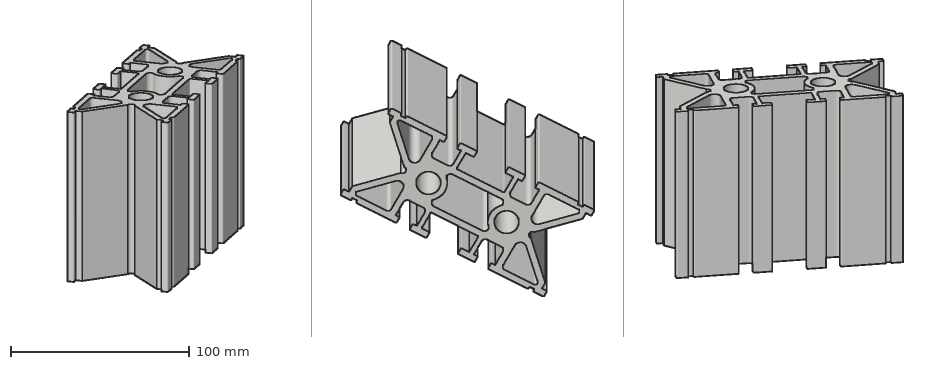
import cadquery as cq
import math

width = 60.0
length = 130.0
height = 100.0

plate = 4.0
arm = 3.9
thin_web = 3.0
half_width = width / 2
half_length = length / 2
plate_inner_x = half_width - plate

bore_diameter = 13.8
bore_y = 25.0
slot_half_height = 6.8
slot_half_mouth = 4.2
slot_floor_x = 14.5
slot_fillet = 2.5
slot_outer_y = bore_y + slot_half_height
slot_inner_y = bore_y - slot_half_height

lip_end_y = 10.0
channel_half_length = slot_inner_y - thin_web
channel_floor_x = 15.1

cavity_half_width = channel_floor_x - plate
cavity_half_length = 18.0
cavity_fillet = 2.5
bore_wall_radius = 10.5
bore_wall_fillet = 1.4

recess_root_radius = 2.1
recess_root_y = 41.6
tip_height = 3.4
shelf_y = half_length - tip_height
shelf_x = recess_root_radius + shelf_y - recess_root_y

triangle_base_y = slot_outer_y + plate
arm_inner_offset = recess_root_y - recess_root_radius - arm * math.sqrt(2)
triangle_inner_x = triangle_base_y - arm_inner_offset
triangle_top_y = arm_inner_offset + plate_inner_x
triangle_tip_fillet = 1.4
triangle_base_fillet = 2.0
triangle_inner_fillet = 3.5

groove_depth = 1.5
groove_inner_y = 55.1
groove_outer_y = 58.1
outer_edge_fillet = 0.9
small_edge_fillet = 0.4

signs = (-1, 1)
corners = [(sx, sy) for sx in signs for sy in signs]


def box(x_min, x_max, y_min, y_max):
    """Full-height block between the given X and Y limits."""
    return cq.Workplane("XY").box(
        x_max - x_min, y_max - y_min, height, centered=False
    ).translate((x_min, y_min, 0))


def prism(points):
    return cq.Workplane("XY").polyline(points).close().extrude(height)


def at_corner(solid, sx, sy):
    """Mirror a solid from the +X +Y quarter into the given quarter."""
    if sx < 0:
        solid = solid.mirror("YZ")
    if sy < 0:
        solid = solid.mirror("XZ")
    return solid


def edge_at(x, y):
    """Selector for the vertical edge at (x, y)."""
    reach = 0.06
    return cq.selectors.BoxSelector((x - reach, y - reach, 0), (x + reach, y + reach, height))


def end_recess():
    """V recess in the +Y end, with a flat shelf beside each tip."""
    return (
        cq.Workplane("XY")
        .moveTo(-recess_root_radius, recess_root_y)
        .threePointArc((0, recess_root_y - recess_root_radius), (recess_root_radius, recess_root_y))
        .lineTo(shelf_x, shelf_y)
        .lineTo(plate_inner_x, shelf_y)
        .lineTo(plate_inner_x, half_length)
        .lineTo(-plate_inner_x, half_length)
        .lineTo(-plate_inner_x, shelf_y)
        .lineTo(-shelf_x, shelf_y)
        .close()
        .extrude(height)
    )


def triangle_cavity():
    base = (plate_inner_x, triangle_base_y)
    tip = (plate_inner_x, triangle_top_y)
    inner = (triangle_inner_x, triangle_base_y)
    return (
        prism([base, tip, inner])
        .edges(edge_at(*base)).fillet(triangle_base_fillet)
        .edges(edge_at(*tip)).fillet(triangle_tip_fillet)
        .edges(edge_at(*inner)).fillet(triangle_inner_fillet)
    )


def t_slot():
    chamber = box(slot_floor_x, plate_inner_x, slot_inner_y, slot_outer_y)
    chamber = chamber.edges("|Z and <X").fillet(slot_fillet)
    mouth = box(slot_floor_x + slot_fillet, half_width, bore_y - slot_half_mouth, bore_y + slot_half_mouth)
    return chamber.union(mouth)


def side_channel():
    """Channel in the +X side, narrowed at its mouth by the two lips."""
    chamber = box(channel_floor_x, plate_inner_x, -channel_half_length, channel_half_length)
    chamber = chamber.edges("|Z and <X").fillet(small_edge_fillet)
    mouth = box(channel_floor_x + small_edge_fillet, half_width, -lip_end_y, lip_end_y)
    return chamber.union(mouth)


def central_cavity():
    cavity = box(-cavity_half_width, cavity_half_width, -cavity_half_length, cavity_half_length)
    cavity = cavity.edges("|Z").fillet(cavity_fillet)
    for sy in signs:
        bore_wall = cq.Workplane("XY").center(0, sy * bore_y).circle(bore_wall_radius).extrude(height)
        cavity = cavity.cut(bore_wall)
    join_x = math.sqrt(bore_wall_radius**2 - (bore_y - cavity_half_length) ** 2)
    for sx, sy in corners:
        cavity = cavity.edges(edge_at(sx * join_x, sy * cavity_half_length)).fillet(bore_wall_fillet)
    return cavity


def bores():
    centres = [(0, sy * bore_y) for sy in signs]
    return cq.Workplane("XY").pushPoints(centres).circle(bore_diameter / 2).extrude(height)


profile = box(-half_width, half_width, -half_length, half_length)
profile = profile.cut(central_cavity()).cut(bores())
profile = profile.cut(end_recess()).cut(end_recess().mirror("XZ"))
profile = profile.cut(side_channel()).cut(side_channel().mirror("YZ"))

groove = box(half_width - groove_depth, half_width, groove_inner_y, groove_outer_y)
for sx, sy in corners:
    for cutter in (triangle_cavity(), t_slot(), groove):
        profile = profile.cut(at_corner(cutter, sx, sy))

plate_end_y = bore_y + slot_half_mouth
lip_start_y = bore_y - slot_half_mouth
for sx, sy in corners:
    outer_x = sx * half_width
    for edge_y in (half_length, groove_inner_y, plate_end_y):
        profile = profile.edges(edge_at(outer_x, sy * edge_y)).fillet(outer_edge_fillet)
    for edge_y in (groove_outer_y, lip_start_y, lip_end_y):
        profile = profile.edges(edge_at(outer_x, sy * edge_y)).fillet(small_edge_fillet)
    for edge_y in (half_length, plate_end_y, lip_start_y, lip_end_y):
        profile = profile.edges(edge_at(sx * plate_inner_x, sy * edge_y)).fillet(small_edge_fillet)

result = profile.solids()